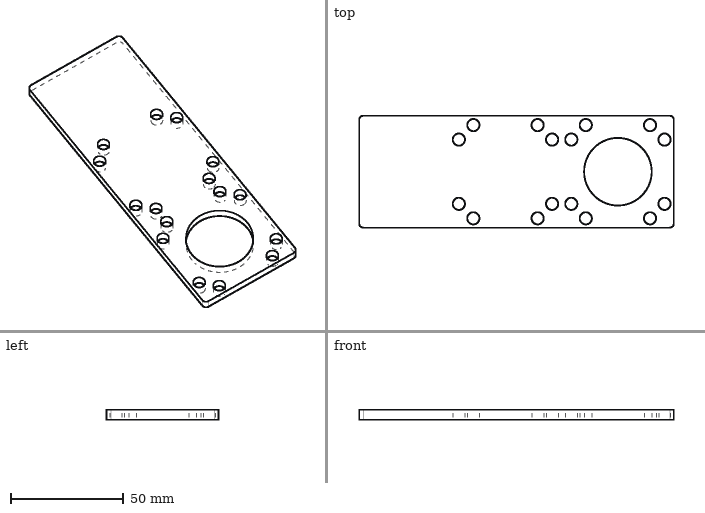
import cadquery as cq

length = 140.0
width = 49.8
thickness = 4.5
corner_radius = 2.0

bore_diameter = 30.0
bore_x = length / 2 - width / 2

hole_diameter = 5.3
group_spacing = 50.0
near_offset = 14.3
far_offset = 20.7


def group_points(center_x):
    """Eight hole centres, two near each corner of a square around center_x."""
    points = []
    for dx, dy in ((near_offset, far_offset), (far_offset, near_offset)):
        for side_x in (-1, 1):
            for side_y in (-1, 1):
                points.append((center_x + side_x * dx, side_y * dy))
    return points


plate = cq.Workplane("XY").box(length, width, thickness).edges("|Z").fillet(corner_radius)
plate = plate.faces(">Z").workplane(origin=(0, 0, 0)).pushPoints([(bore_x, 0)]).hole(bore_diameter)

for group_x in (bore_x, bore_x - group_spacing):
    top = plate.faces(">Z").workplane(origin=(0, 0, 0))
    plate = top.pushPoints(group_points(group_x)).hole(hole_diameter)

result = plate